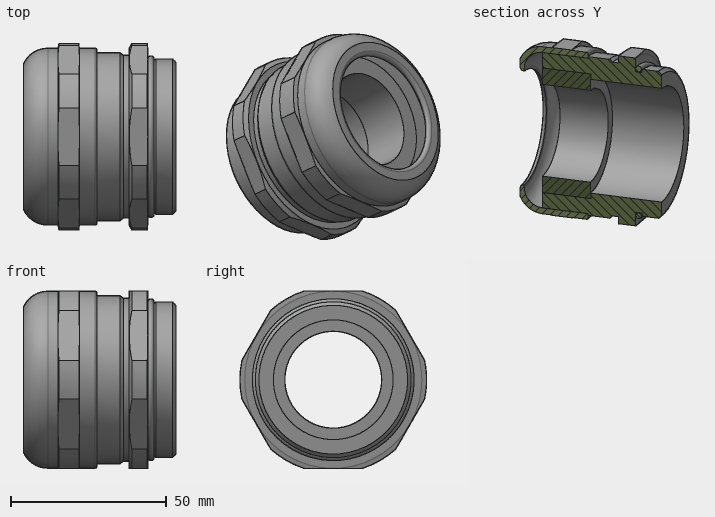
import cadquery as cq
import math


FLATS = 57.0
HEX_SIDES = 6
CORNER_RADIUS = 59.95 / 2
HEX_FACE_RADIUS = 56.8 / 2

NUT_LENGTH = 23.55
NUT_RADIUS = HEX_FACE_RADIUS
DOME_LENGTH = 7.8
DOME_FACE_RADIUS = 23.4
NUT_HEX_START = 11.0
NUT_HEX_END = 17.9
NUT_FRONT_BEVEL = 0.35
NUT_REAR_BEVEL = 0.2
NUT_END_FILLET = 0.65
MOUTH_RADIUS = 38.5 / 2
MOUTH_FILLET = 1.25
LIP_LENGTH = 1.55
THREAD_RADIUS = 52.5 / 2

SEAL_START = 7.75
SEAL_END = 24.35
SEAL_RADIUS = 42.1 / 2
SEAL_BORE_RADIUS = 31.0 / 2

BODY_END = 48.9
BODY_BORE_RADIUS = 38.4 / 2
BARREL_RADIUS = 54.0 / 2
BARREL_END = 30.9
NECK_RADIUS = 52.3 / 2
NECK_START = 32.0
BODY_HEX_START = 33.85
BODY_HEX_END = 39.85
BODY_FRONT_BEVEL = 0.9
BODY_REAR_BEVEL = 0.2
GROOVE_RADIUS = 47.8 / 2
GROOVE_WALL_RADIUS = 49.1 / 2
ENTRY_RADIUS = 50.0 / 2
ENTRY_START = 42.5
ENTRY_CHAMFER = 1.15

CORD_RADIUS = 1.0
GROOVE_END = BODY_HEX_END + 2 * CORD_RADIUS


def turned(profile):
    """Solid of revolution about X from a closed (X, radius) profile."""
    return profile.close().revolve(360, (0, 0, 0), (1, 0, 0))


def cylinder(start, end, radius):
    """Round bar along X between two stations."""
    return cq.Workplane("YZ").workplane(offset=start).circle(radius).extrude(end - start)


def hexagon(start, end, front_bevel, rear_bevel):
    """Hexagon with flats facing +-Z, its corners turned round and bevelled at both ends."""
    prism = (
        cq.Workplane("YZ")
        .workplane(offset=start)
        .polygon(HEX_SIDES, FLATS / math.cos(math.pi / HEX_SIDES))
        .extrude(end - start)
    )
    corner_limit = turned(
        cq.Workplane("XY")
        .moveTo(start, 0)
        .lineTo(start, HEX_FACE_RADIUS)
        .lineTo(start + front_bevel, CORNER_RADIUS)
        .lineTo(end - rear_bevel, CORNER_RADIUS)
        .lineTo(end, HEX_FACE_RADIUS)
        .lineTo(end, 0)
    )
    return prism.intersect(corner_limit)


def make_dome_nut():
    face_step = NUT_RADIUS - DOME_FACE_RADIUS
    dome_radius = (DOME_LENGTH**2 + face_step**2) / (2 * face_step)
    half_angle = math.atan2(face_step, DOME_LENGTH)
    dome_middle = (
        DOME_LENGTH - dome_radius * math.sin(half_angle),
        NUT_RADIUS - dome_radius * (1 - math.cos(half_angle)),
    )
    outside = turned(
        cq.Workplane("XY")
        .moveTo(0, 0)
        .lineTo(0, DOME_FACE_RADIUS)
        .threePointArc(dome_middle, (DOME_LENGTH, NUT_RADIUS))
        .lineTo(NUT_LENGTH, NUT_RADIUS)
        .lineTo(NUT_LENGTH, 0)
    )
    outside = outside.faces(">X").edges().fillet(NUT_END_FILLET)
    hex_band = hexagon(NUT_HEX_START, NUT_HEX_END, NUT_FRONT_BEVEL, NUT_REAR_BEVEL)

    bore_round = SEAL_START - LIP_LENGTH
    bore = cylinder(LIP_LENGTH, NUT_LENGTH, THREAD_RADIUS).faces("<X").edges().fillet(bore_round)
    mouth = cylinder(0, LIP_LENGTH, MOUTH_RADIUS)
    nut = outside.union(hex_band).cut(mouth).cut(bore)

    mouth_rim = cq.selectors.RadiusNthSelector(0)
    return nut.faces("<X").edges(mouth_rim).fillet(MOUTH_FILLET)


def make_gland_body():
    outside = turned(
        cq.Workplane("XY")
        .moveTo(SEAL_START, 0)
        .lineTo(SEAL_START, THREAD_RADIUS)
        .lineTo(NUT_LENGTH, THREAD_RADIUS)
        .lineTo(NUT_LENGTH, BARREL_RADIUS)
        .lineTo(BARREL_END, BARREL_RADIUS)
        .lineTo(NECK_START, NECK_RADIUS)
        .lineTo(BODY_HEX_END, NECK_RADIUS)
        .lineTo(BODY_HEX_END, GROOVE_RADIUS)
        .lineTo(GROOVE_END, GROOVE_RADIUS)
        .lineTo(GROOVE_END, GROOVE_WALL_RADIUS)
        .lineTo(ENTRY_START, ENTRY_RADIUS)
        .lineTo(BODY_END - ENTRY_CHAMFER, ENTRY_RADIUS)
        .lineTo(BODY_END, ENTRY_RADIUS - ENTRY_CHAMFER)
        .lineTo(BODY_END, 0)
    )
    hex_band = hexagon(BODY_HEX_START, BODY_HEX_END, BODY_FRONT_BEVEL, BODY_REAR_BEVEL)
    seal_seat = cylinder(SEAL_START, SEAL_END, SEAL_RADIUS)
    bore = cylinder(SEAL_END, BODY_END, BODY_BORE_RADIUS)
    return outside.union(hex_band).cut(seal_seat).cut(bore)


def make_seal():
    outside = cylinder(SEAL_START, SEAL_END, SEAL_RADIUS)
    return outside.cut(cylinder(SEAL_START, SEAL_END, SEAL_BORE_RADIUS))


def make_o_ring():
    ring_radius = GROOVE_RADIUS + CORD_RADIUS
    ring_middle = BODY_HEX_END + CORD_RADIUS
    cord = cq.Workplane("XY").moveTo(ring_middle, ring_radius).circle(CORD_RADIUS)
    return cord.revolve(360, (0, 0, 0), (1, 0, 0))


dome_nut = make_dome_nut()
gland_body = make_gland_body()
seal = make_seal()
o_ring = make_o_ring()

result = cq.Compound.makeCompound([dome_nut.val(), gland_body.val(), seal.val(), o_ring.val()])